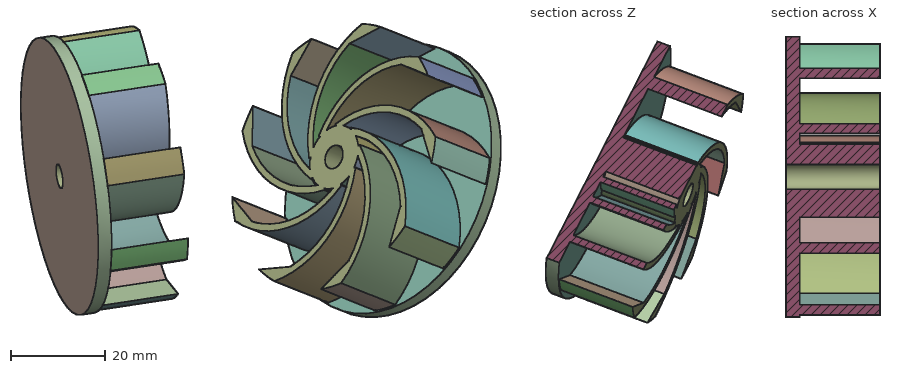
import cadquery as cq
import math

disc_diameter = 59.55
disc_thickness = 3.0
total_depth = 20.0
hub_diameter = 14.0
bore_diameter = 5.2

blade_count = 9
tip_radius = 29.35
tip_trailing_angle = 77.3
tip_leading_angle = 66.0
camber_center = (-8.75, 14.9)
convex_radius = 23.8
wall_thickness = 1.55
flare_angle = 18.0
root_angle = -50.0


def polar(radius, angle, center=(0.0, 0.0)):
    turn = math.radians(angle)
    return (center[0] + radius * math.cos(turn), center[1] + radius * math.sin(turn))


def extrude_back(section, depth):
    """Extrude an XZ section toward +Y."""
    return section.extrude(-depth)


def make_blade():
    concave_radius = convex_radius - wall_thickness
    leading_tip = polar(tip_radius, tip_leading_angle)
    middle_tip = polar(tip_radius, (tip_leading_angle + tip_trailing_angle) / 2)
    trailing_tip = polar(tip_radius, tip_trailing_angle)
    section = (
        cq.Workplane("XZ")
        .moveTo(*trailing_tip)
        .threePointArc(middle_tip, leading_tip)
        .threePointArc(
            polar(convex_radius, 0, camber_center),
            polar(convex_radius, root_angle, camber_center),
        )
        .lineTo(*polar(concave_radius, root_angle, camber_center))
        .threePointArc(
            polar(concave_radius, 0, camber_center),
            polar(concave_radius, flare_angle, camber_center),
        )
        .close()
    )
    return extrude_back(section, total_depth)


disc = extrude_back(cq.Workplane("XZ").circle(disc_diameter / 2), disc_thickness)
hub = extrude_back(cq.Workplane("XZ").circle(hub_diameter / 2), total_depth)
bore = extrude_back(cq.Workplane("XZ").circle(bore_diameter / 2), total_depth)

result = disc.union(hub)
blade = make_blade()
for index in range(blade_count):
    result = result.union(blade.rotate((0, 0, 0), (0, 1, 0), index * 360 / blade_count))
result = result.cut(bore)